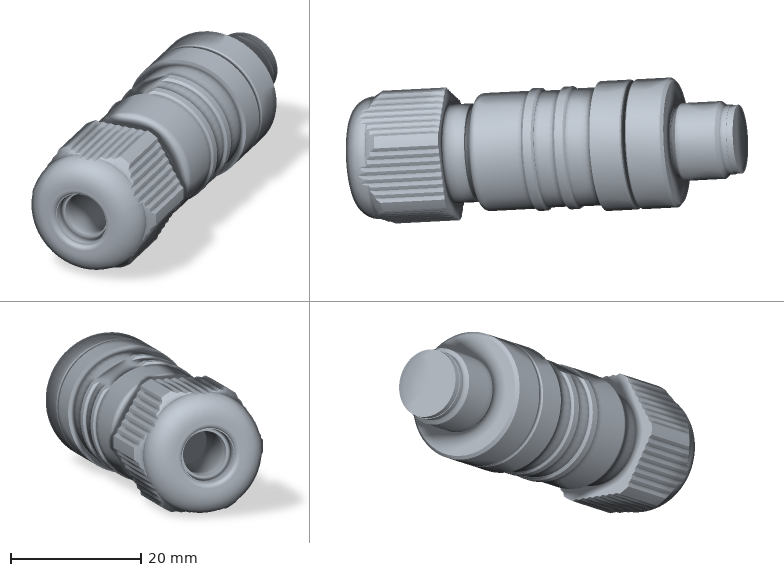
import cadquery as cq
import math

LENGTH = 60.8

TIP_R = 10.6 / 2
TIP_LEN = 1.05
NOSE_R = 10.75 / 2
NOSE_LEN = 0.9
THREAD_R = 12.0 / 2
THREAD_START = 51.85
THREAD_BEVEL = 0.7
THREAD_RUNOUT = 0.35
RELIEF_R = 10.65 / 2
RELIEF_STEP_R = 10.95 / 2
RELIEF_STEP_LEN = 0.2
SHOULDER_R = 10.8 / 2
SHOULDER_LEN = 0.2

COLLAR_R = 20.0 / 2
FRONT_COLLAR_START = 44.9
FRONT_COLLAR_END = 50.8
FRONT_COLLAR_CHAMFER = 0.5
REAR_COLLAR_START = 39.3
REAR_COLLAR_END = 44.2
COLLAR_EDGE_BREAK = 0.2
NECK_R = 13.8 / 2

BODY_R = 18.2 / 2
BODY_START = 19.9
BODY_FILLET = 1.1
RING_R = 18.9 / 2
RING_WIDTH = 2.0
RING_CHAMFER = 0.35
RING_STARTS = (28.3, 33.25)
WAIST_R = 18.0 / 2
FLAT_DISTANCE = 8.6
FLAT_ANGLE = 120.0

GLAND_R = 15.2 / 2
GLAND_END = 19.0

NUT_END = 15.5
NUT_R = 20.9 / 2
LAND_START = 5.4
DOME_R = 18.9 / 2
DOME_EDGE = 3.8
DOME_FILLET = 3.65
SIDES = 6
GROOVES_PER_SIDE = 7
GROOVE_PITCH = 1.25
GROOVE_DEPTH = 0.21
CREST_DISTANCE = 9.455

MOUTH_R = 10.1 / 2
MOUTH_ROUND = 0.7
ENTRY_R = 8.3 / 2
ENTRY_DEPTH = 2.45
CABLE_R = 7.0 / 2
CABLE_DEPTH = 12.15


def cylinder(radius, start, end):
    """Solid cylinder along Y between two stations."""
    return cq.Workplane("XZ", origin=(0, end, 0)).circle(radius).extrude(end - start)


def spin(profile):
    """Revolve a closed (radius, Y) profile about the Y axis."""
    return profile.close().revolve(360, (0, 0, 0), (0, 1, 0))


def make_plug():
    nose_end = LENGTH - TIP_LEN
    thread_end = nose_end - NOSE_LEN
    runout_start = THREAD_START - THREAD_RUNOUT
    return spin(
        cq.Workplane("XY")
        .moveTo(0, FRONT_COLLAR_END)
        .lineTo(SHOULDER_R, FRONT_COLLAR_END)
        .lineTo(SHOULDER_R, FRONT_COLLAR_END + SHOULDER_LEN)
        .lineTo(RELIEF_R, FRONT_COLLAR_END + SHOULDER_LEN)
        .lineTo(RELIEF_R, runout_start - RELIEF_STEP_LEN)
        .lineTo(RELIEF_STEP_R, runout_start - RELIEF_STEP_LEN)
        .lineTo(RELIEF_STEP_R, runout_start)
        .lineTo(THREAD_R - THREAD_RUNOUT, runout_start)
        .lineTo(THREAD_R, THREAD_START)
        .lineTo(THREAD_R, thread_end - THREAD_BEVEL)
        .lineTo(NOSE_R, thread_end)
        .lineTo(NOSE_R, nose_end)
        .lineTo(TIP_R, nose_end)
        .lineTo(TIP_R, LENGTH)
        .lineTo(0, LENGTH)
    )


def make_collars():
    front = (
        cylinder(COLLAR_R, FRONT_COLLAR_START, FRONT_COLLAR_END)
        .faces(">Y").chamfer(FRONT_COLLAR_CHAMFER)
        .faces("<Y").chamfer(COLLAR_EDGE_BREAK)
    )
    rear = cylinder(COLLAR_R, REAR_COLLAR_START, REAR_COLLAR_END).faces(">Y").chamfer(COLLAR_EDGE_BREAK)
    neck = cylinder(NECK_R, REAR_COLLAR_END, FRONT_COLLAR_START)
    return front.union(neck).union(rear)


def make_body():
    rings_start = RING_STARTS[0]
    rings_end = RING_STARTS[-1] + RING_WIDTH
    body = cylinder(BODY_R, BODY_START, rings_start).faces("<Y").edges().fillet(BODY_FILLET)
    body = body.union(cylinder(BODY_R, rings_end, REAR_COLLAR_START))

    grip = cylinder(WAIST_R, rings_start, rings_end)
    for start in RING_STARTS:
        ring = cylinder(RING_R, start, start + RING_WIDTH)
        grip = grip.union(ring.faces("<Y or >Y").edges().chamfer(RING_CHAMFER))
    beyond_flat = (
        cq.Workplane("XY")
        .box(RING_R, rings_end - rings_start, 2 * RING_R, centered=(False, False, True))
        .translate((FLAT_DISTANCE, rings_start, 0))
        .rotate((0, 0, 0), (0, 1, 0), -FLAT_ANGLE)
    )
    return body.union(grip.cut(beyond_flat))


def make_gland():
    gland = cylinder(GLAND_R, NUT_END, GLAND_END)
    return gland.union(cylinder(NECK_R, GLAND_END, BODY_START))


def nut_section_point(across, out, side):
    """Point of the nut cross-section, placed relative to the middle of one side."""
    angle = math.radians(side * 360 / SIDES)
    return (
        across * math.cos(angle) - out * math.sin(angle),
        across * math.sin(angle) + out * math.cos(angle),
    )


def make_nut():
    valley_distance = CREST_DISTANCE - GROOVE_DEPTH
    half_width = GROOVES_PER_SIDE * GROOVE_PITCH / 2
    land_edge = math.sqrt(NUT_R**2 - half_width**2)

    section = cq.Workplane("XZ", origin=(0, NUT_END, 0)).moveTo(*nut_section_point(half_width, land_edge, 0))
    for side in range(SIDES):
        for step in range(1, 2 * GROOVES_PER_SIDE):
            across = half_width - step * GROOVE_PITCH / 2
            out = valley_distance if step % 2 else CREST_DISTANCE
            section = section.lineTo(*nut_section_point(across, out, side))
        section = section.lineTo(*nut_section_point(-half_width, land_edge, side))
        land_middle = nut_section_point(0, NUT_R, side + 0.5)
        section = section.threePointArc(land_middle, nut_section_point(half_width, land_edge, side + 1))
    grooved = section.close().extrude(NUT_END)

    outline = spin(
        cq.Workplane("XY")
        .lineTo(DOME_R - DOME_FILLET, 0)
        .radiusArc((DOME_R, DOME_FILLET), -DOME_FILLET)
        .lineTo(DOME_R, DOME_EDGE)
        .lineTo(NUT_R, LAND_START)
        .lineTo(NUT_R, NUT_END)
        .lineTo(0, NUT_END)
    )
    return grooved.intersect(outline)


def make_cable_entry():
    ledge_r = MOUTH_R - MOUTH_ROUND
    return spin(
        cq.Workplane("XY")
        .lineTo(MOUTH_R, 0)
        .radiusArc((ledge_r, MOUTH_ROUND), MOUTH_ROUND)
        .lineTo(ENTRY_R, MOUTH_ROUND)
        .lineTo(ENTRY_R, ENTRY_DEPTH)
        .lineTo(CABLE_R, ENTRY_DEPTH)
        .lineTo(CABLE_R, CABLE_DEPTH)
        .lineTo(0, CABLE_DEPTH)
    )


result = (
    make_plug()
    .union(make_collars())
    .union(make_body())
    .union(make_gland())
    .union(make_nut())
    .cut(make_cable_entry())
)